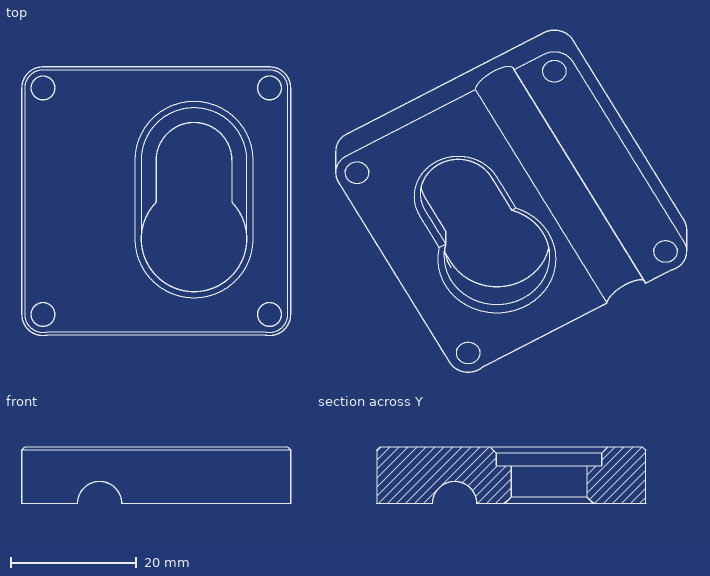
import cadquery as cq
import math

CHAMFER_ANGLE = 45

side = 42.75
height = 9.0
bolt_spacing = 36.0
bolt_diameter = 3.75
corner_radius = (side - bolt_spacing) / 2
edge_chamfer = 0.5
front_inset = 0.1

keyhole_x = 6.0
keyhole_y_entry = -6.0
keyhole_y_neck = 6.5
entry_diameter = 16.75
neck_diameter = 12.0
keyhole_bottom_chamfer = 1.0
recess_depth = 3.0
recess_chamfer = 1.0

channel_x = -9.0
channel_diameter = 7.0


def make_plate():
    """Rounded square plate with a chamfered top; the front corner rounds run on past the front face."""
    half_side = side / 2
    half_spacing = bolt_spacing / 2
    front_y = front_inset - half_side
    round_reach = corner_radius * math.cos(math.radians(45))
    front_overrun = math.sqrt(corner_radius**2 - (corner_radius - front_inset) ** 2)
    front_x = half_spacing - front_overrun
    diagonal = half_spacing + round_reach
    return (
        cq.Workplane("XY")
        .moveTo(-front_x, front_y)
        .lineTo(front_x, front_y)
        .threePointArc((diagonal, -diagonal), (half_side, -half_spacing))
        .lineTo(half_side, half_spacing)
        .threePointArc((diagonal, diagonal), (half_spacing, half_side))
        .lineTo(-half_spacing, half_side)
        .threePointArc((-diagonal, diagonal), (-half_side, half_spacing))
        .lineTo(-half_side, -half_spacing)
        .threePointArc((-diagonal, -diagonal), (-front_x, front_y))
        .close()
        .extrude(height)
        .faces(">Z")
        .chamfer(edge_chamfer)
    )


def make_slot(width, base_z, depth, taper=0):
    """Slot along Y whose end centres are the entry and neck centres of the keyhole."""
    center_distance = keyhole_y_neck - keyhole_y_entry
    center_y = (keyhole_y_neck + keyhole_y_entry) / 2
    return (
        cq.Workplane("XY", origin=(keyhole_x, center_y, base_z))
        .slot2D(center_distance + width, width, 90)
        .extrude(depth, taper=taper)
    )


def make_keyhole(margin, depth, taper=0):
    """Large entry circle running into a narrower neck, both grown by the margin all round."""
    entry = (
        cq.Workplane("XY", origin=(keyhole_x, keyhole_y_entry, 0))
        .circle(entry_diameter / 2 + margin)
        .extrude(depth, taper=taper)
    )
    neck = make_slot(neck_diameter + 2 * margin, 0, depth, taper)
    return entry.union(neck)


def make_keyhole_opening():
    """Through keyhole with a chamfer at the underside."""
    flare = make_keyhole(keyhole_bottom_chamfer, keyhole_bottom_chamfer, CHAMFER_ANGLE)
    return make_keyhole(0, height).union(flare)


def make_recess():
    """Slot-shaped recess in the top face with a chamfered mouth."""
    walls = make_slot(entry_diameter, height - recess_depth, recess_depth)
    mouth = make_slot(entry_diameter, height - recess_chamfer, recess_chamfer, -CHAMFER_ANGLE)
    return walls.union(mouth)


def make_channel():
    return (
        cq.Workplane("XZ", origin=(channel_x, 0, 0))
        .circle(channel_diameter / 2)
        .extrude(side / 2, both=True)
    )


def make_bolt_holes():
    return (
        cq.Workplane("XY")
        .rect(bolt_spacing, bolt_spacing, forConstruction=True)
        .vertices()
        .circle(bolt_diameter / 2)
        .extrude(height)
    )


result = make_plate()
for cutter in (make_keyhole_opening(), make_recess(), make_channel(), make_bolt_holes()):
    result = result.cut(cutter)